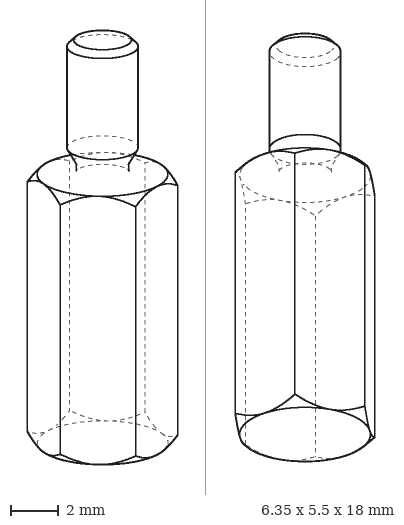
import cadquery as cq
import math

total_height = 18.0
hex_height = total_height * 2 / 3
across_flats = 5.5
across_corners = across_flats / math.cos(math.radians(30))

stud_radius = 3.0 / 2
tip_chamfer = 0.29
tip_radius = stud_radius - tip_chamfer

neck_radius = 2.2 / 2
undercut_length = 1.19
undercut_fillet = 0.2
cone_half_angle = math.radians(30)
cone_height = (stud_radius - neck_radius) / math.tan(cone_half_angle)


def make_hex_body():
    """Hexagonal prism with both ends turned to a 45 degree cone."""
    prism = cq.Workplane("XY").polygon(6, across_corners).extrude(hex_height)
    end_radius = across_flats / 2
    corner_radius = across_corners / 2
    blank_margin = 0.18
    blank_radius = corner_radius + blank_margin
    bevel = blank_radius - end_radius
    blank = cq.Workplane("XY").circle(blank_radius).extrude(hex_height)
    blank = blank.faces("<Z or >Z").chamfer(bevel)
    return prism.intersect(blank)


def make_stud():
    """Revolved stud with a fillet at the neck base and one below the cone."""
    undercut_top = hex_height + undercut_length
    cone_bottom = undercut_top - cone_height
    arc_center_radius = neck_radius + undercut_fillet

    base_arc_center_z = hex_height + undercut_fillet
    base_arc_middle = (
        arc_center_radius - undercut_fillet * math.cos(math.radians(45)),
        base_arc_center_z - undercut_fillet * math.sin(math.radians(45)),
    )

    cone_arc_start_z = cone_bottom - undercut_fillet * math.tan(cone_half_angle / 2)

    def cone_arc_point(angle):
        return (
            arc_center_radius - undercut_fillet * math.cos(angle),
            cone_arc_start_z + undercut_fillet * math.sin(angle),
        )

    profile = (
        cq.Workplane("XZ")
        .moveTo(0, hex_height)
        .lineTo(arc_center_radius, hex_height)
        .threePointArc(base_arc_middle, (neck_radius, base_arc_center_z))
        .lineTo(neck_radius, cone_arc_start_z)
        .threePointArc(cone_arc_point(cone_half_angle / 2), cone_arc_point(cone_half_angle))
        .lineTo(stud_radius, undercut_top)
        .lineTo(stud_radius, total_height - tip_chamfer)
        .lineTo(tip_radius, total_height)
        .lineTo(0, total_height)
        .close()
    )
    return profile.revolve(360, (0, 0, 0), (0, 1, 0))


result = make_hex_body().union(make_stud())